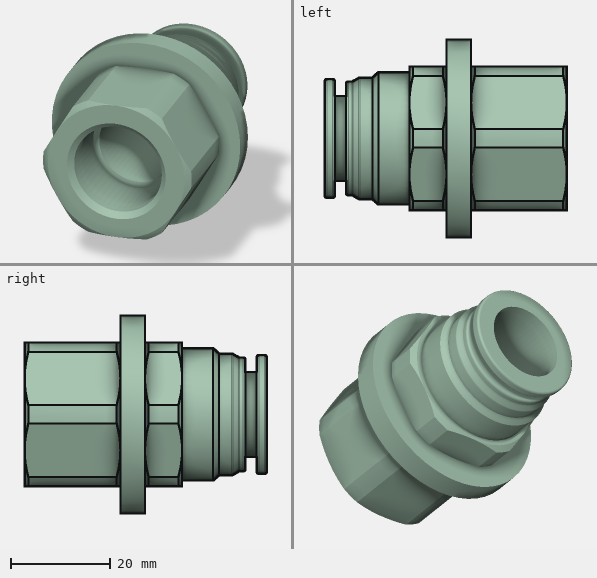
import cadquery as cq
import math


OVERALL_LENGTH = 48.85
EDGE_RADIUS = 0.5
SELECTION_MARGIN = 0.05

HEX_ACROSS_FLATS = 29.0
HEX_CORNER_DIAMETER = 31.55
HEX_CHAMFER_ANGLE = 30.0
HALF_HEX_ANGLE = 30.0
BODY_HEX_LENGTH = 19.3
NUT_HEX_LENGTH = 7.45

FLANGE_DIAMETER = 40.0
FLANGE_THICKNESS = 5.0

SLEEVE_DIAMETER = 26.75
COLLAR_DIAMETER = 24.55
LIP_DIAMETER = 23.0
SLEEVE_LENGTH = 6.25
SLEEVE_TAPER_LENGTH = 1.2
COLLAR_LENGTH = 2.65
COLLAR_TAPER_ANGLE = 30.0
LIP_LENGTH = 1.3
LIP_ROOT_RADIUS = 0.3

PORT_DIAMETER = 18.6
PORT_MOUTH_DIAMETER = 20.95
PORT_CHAMFER_ANGLE = 45.0
PORT_DEPTH = 13.5

TUBE_BORE_DIAMETER = 16.0
BUTTON_TUBE_DIAMETER = 17.2
BUTTON_HEAD_DIAMETER = 24.0
BUTTON_HEAD_THICKNESS = 2.05

flange_start = BODY_HEX_LENGTH
flange_end = flange_start + FLANGE_THICKNESS
nut_end = flange_end + NUT_HEX_LENGTH
sleeve_end = nut_end + SLEEVE_LENGTH
collar_start = sleeve_end + SLEEVE_TAPER_LENGTH
collar_end = collar_start + COLLAR_LENGTH
collar_taper_length = (COLLAR_DIAMETER - LIP_DIAMETER) / 2 / math.tan(math.radians(COLLAR_TAPER_ANGLE))
lip_start = collar_end + collar_taper_length
housing_end = lip_start + LIP_LENGTH
head_start = OVERALL_LENGTH - BUTTON_HEAD_THICKNESS


def turned(profile):
    """Revolve a profile of (radius, y) points about the Y axis."""
    return cq.Workplane("XY").polyline(profile).close().revolve(360, (0, 0, 0), (0, 1, 0))


def cylinder(diameter, start, end):
    """Solid cylinder on the Y axis between two stations."""
    radius = diameter / 2
    return turned([(0, start), (radius, start), (radius, end), (0, end)])


def circle_at(diameter, y):
    """Selector for the circular edges at station y, up to the given diameter."""
    reach = diameter / 2 + SELECTION_MARGIN
    return cq.selectors.BoxSelector(
        (-reach, y - SELECTION_MARGIN, -reach),
        (reach, y + SELECTION_MARGIN, reach),
        boundingbox=True,
    )


def chamfered_hexagon(start, end):
    """Hexagonal prism with turned corners and a conical chamfer at both ends."""
    across_corners = HEX_ACROSS_FLATS / math.cos(math.radians(HALF_HEX_ANGLE))
    prism = (
        cq.Workplane("XZ", origin=(0, start, 0))
        .polygon(6, across_corners)
        .extrude(start - end)
    )
    face_radius = HEX_ACROSS_FLATS / 2
    corner_radius = HEX_CORNER_DIAMETER / 2
    chamfer_length = (corner_radius - face_radius) * math.tan(math.radians(HEX_CHAMFER_ANGLE))
    envelope = turned([
        (0, start),
        (face_radius, start),
        (corner_radius, start + chamfer_length),
        (corner_radius, end - chamfer_length),
        (face_radius, end),
        (0, end),
    ])
    return prism.intersect(envelope)


def stepped_sleeve():
    """Tapered sleeve from the nut to the rounded lip around the button."""
    sleeve = turned([
        (0, nut_end),
        (SLEEVE_DIAMETER / 2, nut_end),
        (SLEEVE_DIAMETER / 2, sleeve_end),
        (COLLAR_DIAMETER / 2, collar_start),
        (COLLAR_DIAMETER / 2, collar_end),
        (LIP_DIAMETER / 2, lip_start),
        (LIP_DIAMETER / 2, housing_end),
        (0, housing_end),
    ])

    sleeve = sleeve.edges(circle_at(LIP_DIAMETER, housing_end)).fillet(EDGE_RADIUS)
    sleeve = sleeve.edges(circle_at(COLLAR_DIAMETER, collar_end)).fillet(EDGE_RADIUS)
    return sleeve.edges(circle_at(LIP_DIAMETER, lip_start)).fillet(LIP_ROOT_RADIUS)


def port_cutter():
    """Threaded port with its chamfered mouth."""
    port_radius = PORT_DIAMETER / 2
    mouth_radius = PORT_MOUTH_DIAMETER / 2
    chamfer_length = (mouth_radius - port_radius) / math.tan(math.radians(PORT_CHAMFER_ANGLE))
    return turned([
        (0, 0),
        (mouth_radius, 0),
        (port_radius, chamfer_length),
        (port_radius, PORT_DEPTH),
        (0, PORT_DEPTH),
    ])


def make_housing():
    """Both hexagons, the flange and the sleeve, bored for the port and the button."""
    return (
        chamfered_hexagon(0, flange_start)
        .union(cylinder(FLANGE_DIAMETER, flange_start, flange_end))
        .union(chamfered_hexagon(flange_end, nut_end))
        .union(stepped_sleeve())
        .cut(port_cutter())
        .cut(cylinder(TUBE_BORE_DIAMETER, 0, OVERALL_LENGTH))
        .cut(cylinder(BUTTON_TUBE_DIAMETER, nut_end, housing_end))
    )


def make_release_button():
    """Round-edged head on a tube that fills the recess in the sleeve."""
    head = cylinder(BUTTON_HEAD_DIAMETER, head_start, OVERALL_LENGTH).edges("%CIRCLE").fillet(EDGE_RADIUS)
    tube = cylinder(BUTTON_TUBE_DIAMETER, nut_end, head_start)
    return head.union(tube).cut(cylinder(TUBE_BORE_DIAMETER, nut_end, OVERALL_LENGTH))


housing = make_housing()
release_button = make_release_button()

result = cq.Compound.makeCompound([housing.solids().val(), release_button.solids().val()])